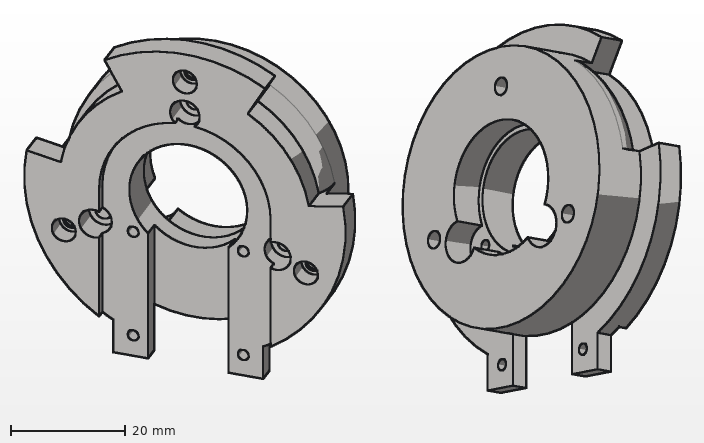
import cadquery as cq
import math


flange_radius = 30.0
flange_thickness = 5.0
disc_radius = 50.0 / 2
total_depth = 15.0
bore_radius = 22.0 / 2

channel_radius = 16.0
channel_depth = 1.7
leg_inner_x = 7.5
leg_outer_x = 14.0
leg_bottom_z = -33.0

notch_start_angles = (10, 120)
notch_span = 50
notch_radius = 23.5
notch_depth = 9.0
cut_margin = 0.6

rear_bore_radius = 12.0
rear_bore_start_y = 9.0
pocket_radius = 3.8

screw_diameter = 3.1
screw_head_diameter = 5.5
screw_head_depth = flange_thickness
top_hole_angle = 90
side_hole_angle = -22.5
top_screw_distance = 17.95
side_screw_distance = 18.4
blind_hole_distance = 24.45
blind_outer_diameter = 4.5
blind_outer_depth = 3.8
blind_inner_diameter = 3.0
blind_inner_depth = 4.4

leg_hole_diameter = 2.0
leg_hole_x = 10.3
upper_leg_hole_z = -8.25
lower_leg_hole_z = -28.9


def cylinder(radius, start_y, end_y, x=0, z=0):
    """Cylinder along Y between two depths."""
    axis_start = cq.Vector(x, start_y, z)
    solid = cq.Solid.makeCylinder(radius, end_y - start_y, axis_start, cq.Vector(0, 1, 0))
    return cq.Workplane(obj=solid)


def block(x_range, y_range, z_range):
    """Box given by its limits along each axis."""
    sizes = [high - low for low, high in (x_range, y_range, z_range)]
    corner = cq.Vector(x_range[0], y_range[0], z_range[0])
    return cq.Workplane(obj=cq.Solid.makeBox(*sizes, corner))


def revolved_sector(profile, start_angle, span):
    """Sector swept around Y from a half-section in XY, angles running from +X toward +Z."""
    sector = profile.revolve(span, (0, 0, 0), (0, -1, 0))
    return sector.rotate((0, 0, 0), (0, -1, 0), start_angle)


def polar(distance, angle):
    """X and Z of a point at an angle from +X toward +Z."""
    return (
        distance * math.cos(math.radians(angle)),
        distance * math.sin(math.radians(angle)),
    )


def make_body():
    flange = cylinder(flange_radius, 0, flange_thickness)
    return flange.union(cylinder(disc_radius, flange_thickness, total_depth))


def cut_channel(body):
    below = -flange_radius
    channel = cylinder(channel_radius, 0, channel_depth).union(
        block((-channel_radius, channel_radius), (0, channel_depth), (below, 0))
    )
    gap = block((-leg_inner_x, leg_inner_x), (0, flange_thickness), (below, 0))
    return body.cut(channel).cut(gap)


def add_legs(body):
    for x_range in ((-leg_outer_x, -leg_inner_x), (leg_inner_x, leg_outer_x)):
        leg = block(x_range, (channel_depth, flange_thickness), (leg_bottom_z, -bore_radius))
        body = body.union(leg)
    return body


def cut_notches(body):
    """Radial notches through the flange that fade into the disc along an arc tangent to its side."""
    outside = flange_radius + cut_margin
    fade_length = notch_depth - flange_thickness
    fade_drop = disc_radius - notch_radius
    fade_radius = (fade_length**2 + fade_drop**2) / (2 * fade_drop)
    for start_angle in notch_start_angles:
        profile = (
            cq.Workplane("XY")
            .moveTo(outside, 0)
            .lineTo(outside, notch_depth)
            .lineTo(disc_radius, notch_depth)
            .radiusArc((notch_radius, flange_thickness), fade_radius)
            .lineTo(notch_radius, 0)
            .close()
        )
        body = body.cut(revolved_sector(profile, start_angle, notch_span))
    return body


def cut_bore(body):
    body = body.cut(cylinder(bore_radius, 0, total_depth))
    body = body.cut(cylinder(rear_bore_radius, rear_bore_start_y, total_depth))
    for x in (-leg_hole_x, leg_hole_x):
        body = body.cut(cylinder(pocket_radius, rear_bore_start_y, total_depth, x, upper_leg_hole_z))
    return body


def cut_round_holes(body):
    sides = (side_hole_angle, 180 - side_hole_angle)
    screws = [polar(top_screw_distance, top_hole_angle)] + [polar(side_screw_distance, a) for a in sides]
    for x, z in screws:
        body = body.cut(cylinder(screw_diameter / 2, 0, total_depth, x, z))
        body = body.cut(cylinder(screw_head_diameter / 2, 0, screw_head_depth, x, z))
    for angle in (top_hole_angle, *sides):
        x, z = polar(blind_hole_distance, angle)
        body = body.cut(cylinder(blind_outer_diameter / 2, 0, blind_outer_depth, x, z))
        body = body.cut(cylinder(blind_inner_diameter / 2, 0, blind_inner_depth, x, z))
    for x in (-leg_hole_x, leg_hole_x):
        for z in (upper_leg_hole_z, lower_leg_hole_z):
            body = body.cut(cylinder(leg_hole_diameter / 2, 0, total_depth, x, z))
    return body


result = make_body()
result = cut_channel(result)
result = add_legs(result)
result = cut_notches(result)
result = cut_bore(result)
result = cut_round_holes(result)